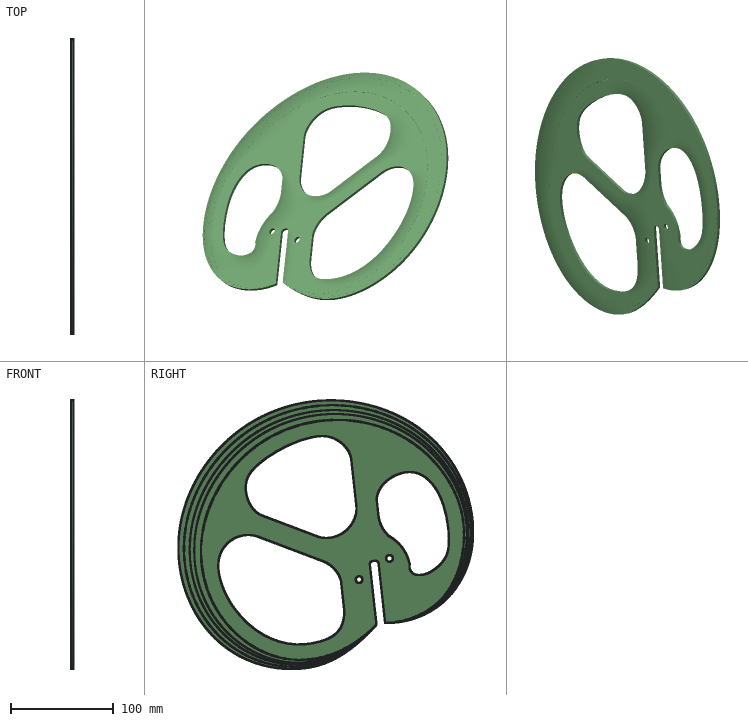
import cadquery as cq
import math


THICKNESS = 3.0
SIZE_STEPS = [0, 0.3, 0.5, 0.75, 1]
LEFT_WINDOW_STEPS = [0, 0.35, 0.47, 0.8, 1]
SPOKE_TILT = 6.3
ARM_SLOPE = 20.7

PIN_DIAMETER = 6.3
PIN_CENTRES = [(-62.3, -23.2), (-32.7, -44.0)]

SLOT_WIDTH = 8.3
SLOT_LENGTH = 86.0
SLOT_TOP = (-47.0, -25.8)
SLOT_CORNER = 3.0

UPRIGHT = (math.sin(math.radians(SPOKE_TILT)), math.cos(math.radians(SPOKE_TILT)))
DOWNRIGHT = (-UPRIGHT[0], -UPRIGHT[1])
ALONG_ARM = (math.cos(math.radians(ARM_SLOPE)), math.sin(math.radians(ARM_SLOPE)))

PLATE_PLANE = cq.Plane(origin=(THICKNESS / 2, 0, 0), xDir=(0, -1, 0), normal=(-1, 0, 0))

LEFT_LIP = (-57.7, -86.0)
RIGHT_LIP = (-49.6, -87.5)
SMALL_CAM = [
    LEFT_LIP, (-82.0, -82.0), (-111.5, -64.3), (-132.3, -23.2), (-132.0, 23.2), (-111.3, 64.3),
    (-78.3, 93.3), (-39.5, 108.5), (0.0, 111.0), (54.5, 94.5), (97.0, 56.0), (120.0, 0.0),
    (110.8, -64.0), (83.5, -99.5), (43.5, -120.0), (0.0, -118.5), (-28.0, -105.5), RIGHT_LIP,
]
LARGE_CAM = [
    LEFT_LIP, (-82.7, -83.0), (-114.2, -66.0), (-140.0, -24.7), (-141.5, 25.0), (-122.5, 70.5),
    (-88.5, 105.3), (-45.5, 125.0), (0.0, 130.5), (65.1, 113.0), (116.8, 67.5), (142.5, 0.0),
    (128.0, -73.8), (94.0, -112.0), (47.5, -130.0), (0.0, -125.0), (-29.0, -107.5), RIGHT_LIP,
]

SMALL_UPPER = [
    (77.2, 41.0), (75.2, 56.2), (65.1, 68.3), (49.0, 79.8), (33.5, 87.8),
    (15.0, 94.0), (-5.5, 94.5),
]
LARGE_UPPER = [
    (96.5, 38.5), (100.2, 59.7), (87.0, 78.5), (63.0, 96.5), (39.0, 108.2),
    (11.2, 115.5), (-14.0, 108.0),
]
SMALL_LOWER = [
    (89.5, -4.3), (102.5, -19.8), (100.7, -48.8), (86.0, -75.2), (66.3, -93.8),
    (40.2, -105.3), (8.0, -104.7), (-13.0, -93.3),
]
LARGE_LOWER = [
    (103.5, 8.3), (125.0, -9.2), (122.3, -48.8), (102.0, -84.5), (73.8, -106.8),
    (40.2, -116.0), (4.5, -110.2), (-15.0, -95.3),
]
SMALL_LEFT = [
    (-59.0, 51.7), (-89.0, 59.7), (-107.0, 44.8), (-116.2, 23.0), (-120.0, -5.5),
    (-117.7, -20.0), (-108.0, -32.5), (-97.0, -38.5), (-86.7, -38.7),
]
LARGE_LEFT = [
    (-55.5, 67.2), (-89.0, 83.2), (-112.2, 57.5), (-125.0, 30.5), (-128.3, -7.0),
    (-123.7, -24.0), (-110.8, -37.5), (-97.5, -40.8), (-86.7, -38.7),
]

UPPER_ARM_EDGE = (60.0, 84.5)
UPPER_SPOKE_EDGE = (47.5, 65.5)
LOWER_ARM_EDGE = (68.3, 88.7)
LOWER_SPOKE_EDGE = (27.0, 32.5)
LEFT_SPOKE_EDGE = (16.6, 34.2)

UPPER_CORNER_START = (-30.0, 25.8)
UPPER_CORNER_MIDDLE = (-18.7, 3.0)
UPPER_CORNER_END = (5.7, -2.5)
LOWER_CORNER_START = (-15.0, -44.8)
LOWER_CORNER_MIDDLE = (-8.5, -33.5)
LOWER_CORNER_END = (1.7, -26.5)
LEFT_HOLLOW_START = (-51.7, 18.0)
LEFT_HOLLOW_MIDDLE = (-54.2, 9.0)
LEFT_BUMP_START = (-61.7, -1.5)
LEFT_BUMP_MIDDLE = (-75.0, -13.0)
LEFT_TOE_START = (-82.0, -29.0)
LEFT_TOE_MIDDLE = (-83.0, -35.3)


def grown(small, large, step):
    """Points of a cam size that lies the given step between the smallest and the largest."""
    return [
        (a[0] + step * (b[0] - a[0]), a[1] + step * (b[1] - a[1]))
        for a, b in zip(small, large)
    ]


def edge_end(corner, direction, lengths, step):
    """Point where a straight edge that runs from a corner meets the free side of a window."""
    length = lengths[0] + step * (lengths[1] - lengths[0])
    return (corner[0] + length * direction[0], corner[1] + length * direction[1])


def cam_points(step):
    return grown(SMALL_CAM, LARGE_CAM, step)


def plate(outline):
    """Solid of plate thickness behind a closed outline."""
    return outline.extrude(-THICKNESS).val()


def sketch():
    return cq.Workplane(PLATE_PLANE)


def upper_window(step):
    start = edge_end(UPPER_CORNER_END, ALONG_ARM, UPPER_ARM_EDGE, step)
    end = edge_end(UPPER_CORNER_START, UPRIGHT, UPPER_SPOKE_EDGE, step)
    free_side = grown(SMALL_UPPER, LARGE_UPPER, step)
    return plate(
        sketch().moveTo(*start)
        .spline([*free_side, end], tangents=[ALONG_ARM, DOWNRIGHT], scale=False, includeCurrent=True)
        .lineTo(*UPPER_CORNER_START)
        .threePointArc(UPPER_CORNER_MIDDLE, UPPER_CORNER_END)
        .close()
    )


def lower_window(step):
    start = edge_end(LOWER_CORNER_END, ALONG_ARM, LOWER_ARM_EDGE, step)
    end = edge_end(LOWER_CORNER_START, DOWNRIGHT, LOWER_SPOKE_EDGE, step)
    free_side = grown(SMALL_LOWER, LARGE_LOWER, step)
    return plate(
        sketch().moveTo(*start)
        .spline([*free_side, end], tangents=[ALONG_ARM, UPRIGHT], scale=False, includeCurrent=True)
        .lineTo(*LOWER_CORNER_START)
        .threePointArc(LOWER_CORNER_MIDDLE, LOWER_CORNER_END)
        .close()
    )


def left_window(step):
    start = edge_end(LEFT_HOLLOW_START, UPRIGHT, LEFT_SPOKE_EDGE, step)
    free_side = grown(SMALL_LEFT, LARGE_LEFT, step)
    return plate(
        sketch().moveTo(*start)
        .spline(free_side, includeCurrent=True)
        .threePointArc(LEFT_TOE_MIDDLE, LEFT_TOE_START)
        .threePointArc(LEFT_BUMP_MIDDLE, LEFT_BUMP_START)
        .threePointArc(LEFT_HOLLOW_MIDDLE, LEFT_HOLLOW_START)
        .close()
    )


def windows(step, left_step):
    return [upper_window(step), lower_window(step), left_window(left_step)]


def slot():
    """Slot with a rounded inner end, open at the rim."""
    blank = (
        sketch()
        .transformed(offset=(*SLOT_TOP, 0), rotate=(0, 0, -SPOKE_TILT))
        .center(0, -SLOT_LENGTH / 2)
        .rect(SLOT_WIDTH, SLOT_LENGTH)
        .extrude(-THICKNESS)
    )
    return blank.edges("|X").edges(">>Z[-1] or >>Z[-2]").fillet(SLOT_CORNER).val()


def pin_holes():
    return sketch().pushPoints(PIN_CENTRES).circle(PIN_DIAMETER / 2).extrude(-THICKNESS).vals()


def core_plate():
    """Smallest cam. Seams in its flat faces trace the window outlines of the larger sizes."""
    points = cam_points(SIZE_STEPS[0])
    blank = plate(sketch().moveTo(*points[0]).spline(points[1:], includeCurrent=True).close())
    window_sizes = [windows(*steps) for steps in zip(SIZE_STEPS, LEFT_WINDOW_STEPS)]
    linings = [
        outer.cut(inner).intersect(blank)
        for smaller, larger in zip(window_sizes, window_sizes[1:])
        for inner, outer in zip(smaller, larger)
    ]
    frame = blank.cut(slot(), *pin_holes(), *window_sizes[-1])
    return frame.fuse(*linings).Solids()[0]


def crescent_rim(inner_step, outer_step):
    """Rim that fills the space between two neighbouring cam sizes."""
    inner = cam_points(inner_step)
    outer = cam_points(outer_step)
    return plate(
        sketch().moveTo(*outer[0])
        .spline(outer[1:], includeCurrent=True)
        .spline(inner[-2::-1], includeCurrent=True)
        .close()
    )


core = core_plate()
rims = [crescent_rim(inner, outer) for inner, outer in zip(SIZE_STEPS, SIZE_STEPS[1:])]

result = cq.Compound.makeCompound([core, *rims])